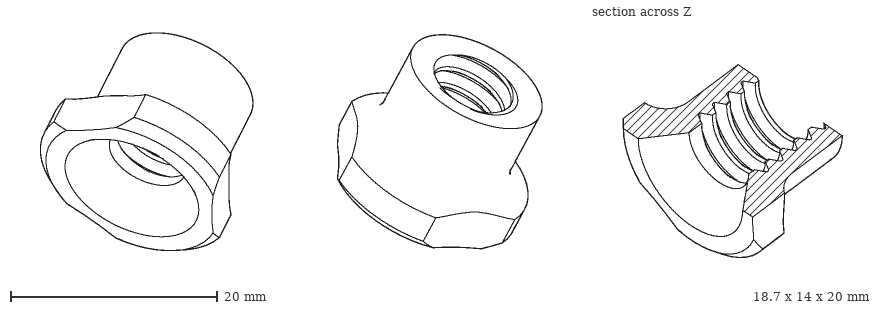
import cadquery as cq
import math

collar_radius = 10.0
sleeve_radius = 7.0
total_length = 14.0
collar_length = 4.0
chamfer = 1.0
neck_fillet = collar_radius - sleeve_radius

mouth_radius = sleeve_radius
mouth_depth = 4.0
bore_radius = 4.0
thread_pitch = 2.0
thread_lead_in = 1.04
thread_depth = 1.08
thread_flank_angle = 30.0
thread_start_angle = 270.0
thread_start = mouth_depth + thread_lead_in

scallop_count = 3
scallop_radius = 28.99
scallop_distance = 8.34


def make_body():
    """Revolve the sleeve, concave neck and chamfered collar about Y."""
    neck_end = collar_length + neck_fillet
    arc_offset = neck_fillet * math.sqrt(0.5)
    arc_middle = (collar_radius - arc_offset, neck_end - arc_offset)
    return (
        cq.Workplane("XY")
        .lineTo(collar_radius - chamfer, 0)
        .lineTo(collar_radius, chamfer)
        .lineTo(collar_radius, collar_length)
        .threePointArc(arc_middle, (sleeve_radius, neck_end))
        .lineTo(sleeve_radius, total_length)
        .lineTo(0, total_length)
        .close()
        .revolve(360, (0, 0, 0), (0, 1, 0))
    )


def make_scallop(angle):
    """Cylinder along Y that hollows one side of the collar."""
    return (
        cq.Workplane("XZ")
        .center(scallop_distance + scallop_radius, 0)
        .circle(scallop_radius)
        .extrude(-total_length)
        .rotate((0, 0, 0), (0, 1, 0), angle)
    )


def make_bore():
    """Conical mouth narrowing to a straight through bore."""
    return (
        cq.Workplane("XY")
        .lineTo(mouth_radius, 0)
        .lineTo(bore_radius, mouth_depth)
        .lineTo(bore_radius, total_length)
        .lineTo(0, total_length)
        .close()
        .revolve(360, (0, 0, 0), (0, 1, 0))
    )


def make_thread_groove():
    """Right-hand V groove with a narrow flat root, running out through the sleeve end."""
    overlap = 0.2
    flank_slope = math.tan(math.radians(thread_flank_angle))
    root_half = thread_pitch / 16
    mouth_half = root_half + (thread_depth + overlap) * flank_slope
    inner = bore_radius - overlap
    outer = bore_radius + thread_depth
    length = total_length - thread_start + thread_pitch
    helix = cq.Wire.makeHelix(thread_pitch, length, bore_radius)
    profile = [(inner, -mouth_half), (outer, -root_half), (outer, root_half), (inner, mouth_half)]
    groove = (
        cq.Workplane("XZ")
        .polyline(profile)
        .close()
        .sweep(cq.Workplane(obj=helix), isFrenet=True)
    )
    return (
        groove.rotate((0, 0, 0), (0, 0, 1), thread_start_angle)
        .rotate((0, 0, 0), (1, 0, 0), -90)
        .translate((0, thread_start, 0))
    )


body = make_body()
for index in range(scallop_count):
    body = body.cut(make_scallop(index * 360 / scallop_count))

result = body.cut(make_thread_groove()).cut(make_bore())